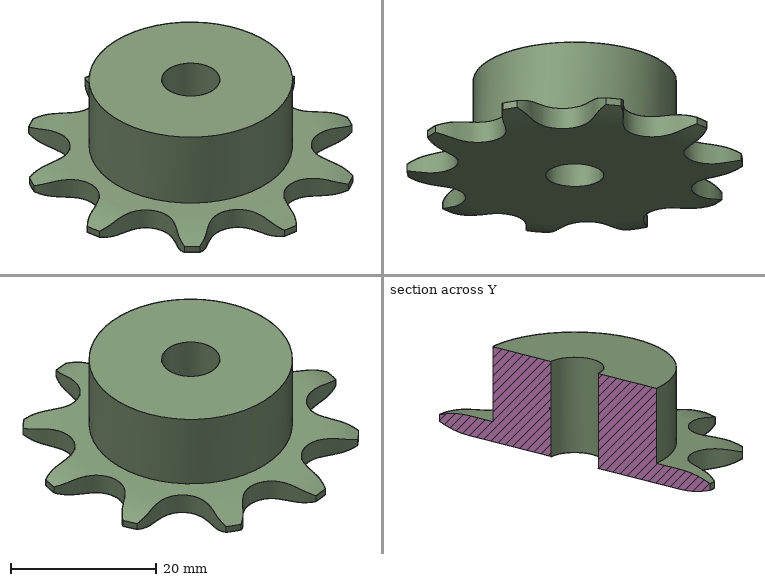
import math

import cadquery as cq

TOOTH_COUNT = 10
CHAIN_PITCH = 12.7
ROLLER_DIAMETER = 7.75
TIP_DIAMETER = 46.2
PLATE_THICKNESS = 3.0
TOTAL_HEIGHT = 14.0
HUB_DIAMETER = 28.0
BORE_DIAMETER = 8.0
RELIEF_RADIUS = 13.0
RELIEF_DEPTH = 1.0

SEAT_FACTOR = 1.005
SEAT_CLEARANCE = 0.076
WORKING_CENTER_FACTOR = 0.8
TOPPING_CENTER_FACTOR = 1.4
SEAT_ANGLE = math.radians(35 + 60 / TOOTH_COUNT)
WORKING_ANGLE = math.radians(18 - 56 / TOOTH_COUNT)
TOPPING_ANGLE = math.radians(17 - 64 / TOOTH_COUNT)

HALF_STEP = math.pi / TOOTH_COUNT
PITCH_RADIUS = CHAIN_PITCH / (2 * math.sin(HALF_STEP))
TIP_RADIUS = TIP_DIAMETER / 2
SEAT_RADIUS = (SEAT_FACTOR * ROLLER_DIAMETER + SEAT_CLEARANCE) / 2
WORKING_OFFSET = WORKING_CENTER_FACTOR * ROLLER_DIAMETER
TOPPING_OFFSET = TOPPING_CENTER_FACTOR * ROLLER_DIAMETER
WORKING_RADIUS = SEAT_RADIUS + WORKING_OFFSET
FLAT_LENGTH = TOPPING_OFFSET * math.sin(TOPPING_ANGLE) - WORKING_OFFSET * math.sin(WORKING_ANGLE)


def polar(center, radius, angle):
    """Point at a radius and angle from a center."""
    return (center[0] + radius * math.cos(angle), center[1] + radius * math.sin(angle))


def rotate(point, angle):
    """Point turned about the sprocket axis."""
    return polar((0, 0), math.hypot(*point), math.atan2(point[1], point[0]) + angle)


def mirror(point):
    """Point reflected in the Y axis, the center line of the gullet."""
    return (-point[0], point[1])


def flank_points():
    """Points up the +X flank of the gullet centered on +Y, from the seat end to the tip."""
    seat_center = (0, PITCH_RADIUS)
    working_center = polar(seat_center, WORKING_OFFSET, math.pi - SEAT_ANGLE)
    seat_end = polar(seat_center, SEAT_RADIUS, -SEAT_ANGLE)
    working_end_angle = WORKING_ANGLE - SEAT_ANGLE
    working_middle = polar(working_center, WORKING_RADIUS, working_end_angle - WORKING_ANGLE / 2)
    working_end = polar(working_center, WORKING_RADIUS, working_end_angle)
    flat_end = polar(working_end, FLAT_LENGTH, working_end_angle + math.pi / 2)

    topping_center = polar(seat_center, TOPPING_OFFSET, -HALF_STEP)
    topping_radius = math.dist(topping_center, flat_end)
    start_angle = math.atan2(flat_end[1] - topping_center[1], flat_end[0] - topping_center[0])
    start_angle %= 2 * math.pi
    center_distance = math.hypot(*topping_center)
    excess = TIP_RADIUS**2 - center_distance**2 - topping_radius**2
    cosine = excess / (2 * center_distance * topping_radius)
    tip_angle = math.atan2(topping_center[1], topping_center[0]) + math.acos(cosine)
    topping_middle = polar(topping_center, topping_radius, (start_angle + tip_angle) / 2)
    tip_corner = polar(topping_center, topping_radius, tip_angle)
    return seat_end, working_middle, working_end, flat_end, topping_middle, tip_corner


def make_toothed_plate():
    """Flat plate with the full tooth outline; one tooth points along +X."""
    flank = flank_points()
    seat_bottom = (0, PITCH_RADIUS - SEAT_RADIUS)
    first_gullet = HALF_STEP - math.pi / 2
    outline = cq.Workplane("XY").moveTo(*rotate(mirror(flank[-1]), first_gullet))
    for index in range(TOOTH_COUNT):
        turn = first_gullet - 2 * HALF_STEP * index
        seat_end, working_middle, working_end, flat_end, topping_middle, tip_corner = (
            rotate(point, turn) for point in flank
        )
        entry_seat, entry_middle, entry_working, entry_flat, entry_topping, _ = (
            rotate(mirror(point), turn) for point in flank
        )
        tooth_middle = polar((0, 0), TIP_RADIUS, math.pi / 2 + turn - HALF_STEP)
        next_corner = rotate(mirror(flank[-1]), turn - 2 * HALF_STEP)
        outline = (
            outline.threePointArc(entry_topping, entry_flat)
            .lineTo(*entry_working)
            .threePointArc(entry_middle, entry_seat)
            .threePointArc(rotate(seat_bottom, turn), seat_end)
            .threePointArc(working_middle, working_end)
            .lineTo(*flat_end)
            .threePointArc(topping_middle, tip_corner)
            .threePointArc(tooth_middle, next_corner)
        )
    return outline.close().extrude(PLATE_THICKNESS)


def make_relief_envelope():
    """Disc whose two rim edges are rounded off towards the tooth tips."""
    run = math.sqrt(RELIEF_RADIUS**2 - (RELIEF_RADIUS - RELIEF_DEPTH) ** 2)
    start_radius = TIP_RADIUS - run
    half_sweep = math.asin(run / RELIEF_RADIUS) / 2
    middle_radius = start_radius + RELIEF_RADIUS * math.sin(half_sweep)
    middle_depth = RELIEF_RADIUS * (1 - math.cos(half_sweep))
    profile = (
        cq.Workplane("XZ")
        .moveTo(0, 0)
        .lineTo(start_radius, 0)
        .threePointArc((middle_radius, middle_depth), (TIP_RADIUS, RELIEF_DEPTH))
        .lineTo(TIP_RADIUS, PLATE_THICKNESS - RELIEF_DEPTH)
        .threePointArc((middle_radius, PLATE_THICKNESS - middle_depth), (start_radius, PLATE_THICKNESS))
        .lineTo(0, PLATE_THICKNESS)
        .close()
    )
    return profile.revolve(360, (0, 0), (0, 1))


def make_hub():
    """Round hub standing on the plate."""
    return cq.Workplane("XY").circle(HUB_DIAMETER / 2).extrude(TOTAL_HEIGHT)


def make_bore():
    """Cylinder that clears the shaft bore through the full height."""
    return cq.Workplane("XY").circle(BORE_DIAMETER / 2).extrude(TOTAL_HEIGHT)


sprocket_wheel = make_toothed_plate().intersect(make_relief_envelope())
result = sprocket_wheel.union(make_hub()).cut(make_bore())